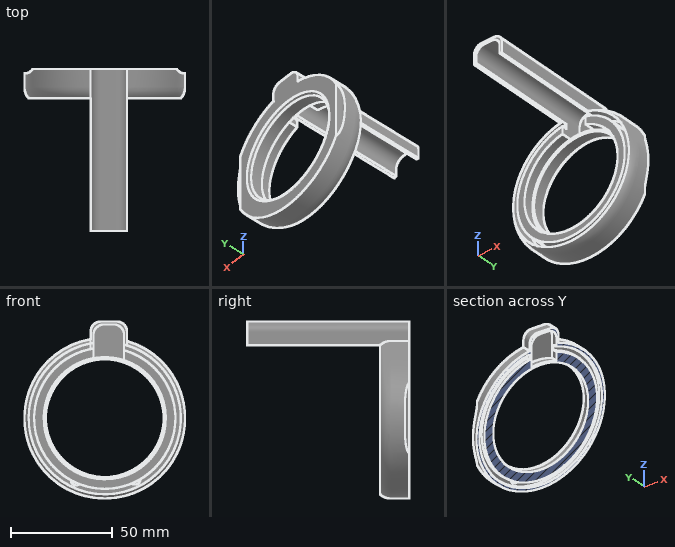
import cadquery as cq
import math

OUTER_RADIUS = 39.6
BORE_RADIUS = 29.0
FRONT_BORE_RADIUS = 30.1
RING_DEPTH = 14.6
LIP_DEPTH = 8.6
BACK_CHAMFER = 1.5
EDGE_ROUND_LENGTH = 5.3

GROOVE_INNER_RADIUS = 34.8
GROOVE_OUTER_RADIUS = 37.5
GROOVE_FLOOR_THICKNESS = 3.0

RELIEF_RADIUS = 8.5 / 2
RELIEF_CENTER_X = 39.2
RELIEF_DEPTH = 2.2

POCKET_RADIUS = 5.35 / 2
POCKET_CENTER_RADIUS = 33.5
POCKET_ANGLES = (-24.8, 26.4)
POCKET_DEPTH = 0.1

STOP_SETBACK = 3.0

CHANNEL_LENGTH = 80.0
CHANNEL_WIDTH = 18.0
CHANNEL_OFFSET = 2.0
OVERALL_HEIGHT = 87.26
CHANNEL_TOP = OVERALL_HEIGHT - OUTER_RADIUS
CHANNEL_CORNER_RADIUS = 5.0
WALL = 1.5


def cylinder(radius, y_back, y_front):
    """Solid cylinder around the Y axis between two y positions."""
    return cq.Workplane("XZ", origin=(0, y_back, 0)).circle(radius).extrude(y_back - y_front)


def make_ring():
    """Revolved ring section with a stepped and chamfered bore, a front groove and a rounded rim."""
    round_start = EDGE_ROUND_LENGTH - RING_DEPTH
    section = (
        cq.Workplane("XY")
        .moveTo(BORE_RADIUS, -BACK_CHAMFER)
        .lineTo(BORE_RADIUS + BACK_CHAMFER, 0)
        .lineTo(OUTER_RADIUS, 0)
        .lineTo(OUTER_RADIUS, round_start)
        .tangentArcPoint((GROOVE_OUTER_RADIUS, -RING_DEPTH), relative=False)
        .lineTo(GROOVE_OUTER_RADIUS, -GROOVE_FLOOR_THICKNESS)
        .lineTo(GROOVE_INNER_RADIUS, -GROOVE_FLOOR_THICKNESS)
        .lineTo(GROOVE_INNER_RADIUS, -RING_DEPTH)
        .lineTo(FRONT_BORE_RADIUS, -RING_DEPTH)
        .lineTo(FRONT_BORE_RADIUS, -LIP_DEPTH)
        .lineTo(BORE_RADIUS, -LIP_DEPTH)
        .close()
    )
    return section.revolve(360, (0, 0, 0), (0, 1, 0))


def channel_prism(inset, y_back):
    """Round-topped bar from y_back to the front end, set in at the sides and top by inset."""
    width = CHANNEL_WIDTH - 2 * inset
    height = CHANNEL_TOP - inset
    return (
        cq.Workplane("XZ", origin=(CHANNEL_OFFSET, y_back, height / 2))
        .rect(width, height)
        .extrude(CHANNEL_LENGTH + y_back)
        .edges("|Y and >Z")
        .fillet(CHANNEL_CORNER_RADIUS)
    )


def make_stop():
    """Wall across the groove, in line with the left wall of the channel."""
    left_face = CHANNEL_OFFSET - CHANNEL_WIDTH / 2
    stop_front = STOP_SETBACK - RING_DEPTH
    bar = cq.Workplane("XY").box(WALL, RING_DEPTH, OUTER_RADIUS, centered=False)
    bar = bar.translate((left_face, -RING_DEPTH, 0))
    groove_fill = cylinder(GROOVE_OUTER_RADIUS, -GROOVE_FLOOR_THICKNESS, stop_front).cut(
        cylinder(GROOVE_INNER_RADIUS, 0, -RING_DEPTH)
    )
    return bar.intersect(groove_fill)


def make_relief(side):
    """Cylinder along Z that scoops the back edge of the ring at one side."""
    center_y = RELIEF_RADIUS - RELIEF_DEPTH
    return (
        cq.Workplane("XY", origin=(side * RELIEF_CENTER_X, center_y, -OUTER_RADIUS))
        .circle(RELIEF_RADIUS)
        .extrude(2 * OUTER_RADIUS)
    )


def make_pocket(angle_degrees):
    """Shallow round pocket in the groove floor, at an angle from straight down."""
    angle = math.radians(angle_degrees)
    center_x = POCKET_CENTER_RADIUS * math.sin(angle)
    center_z = -POCKET_CENTER_RADIUS * math.cos(angle)
    pocket = (
        cq.Workplane("XZ", origin=(center_x, POCKET_DEPTH - GROOVE_FLOOR_THICKNESS, center_z))
        .circle(POCKET_RADIUS)
        .extrude(POCKET_DEPTH)
    )
    return pocket.cut(cylinder(GROOVE_INNER_RADIUS, 0, -RING_DEPTH))


channel = channel_prism(0, 0).cut(cylinder(GROOVE_OUTER_RADIUS, 0, -CHANNEL_LENGTH))
slot = channel_prism(WALL, -WALL).cut(cylinder(FRONT_BORE_RADIUS, 0, -CHANNEL_LENGTH))

result = make_ring().union(channel).union(make_stop()).cut(slot)
for side in (-1, 1):
    result = result.cut(make_relief(side))
for angle_degrees in POCKET_ANGLES:
    result = result.cut(make_pocket(angle_degrees))